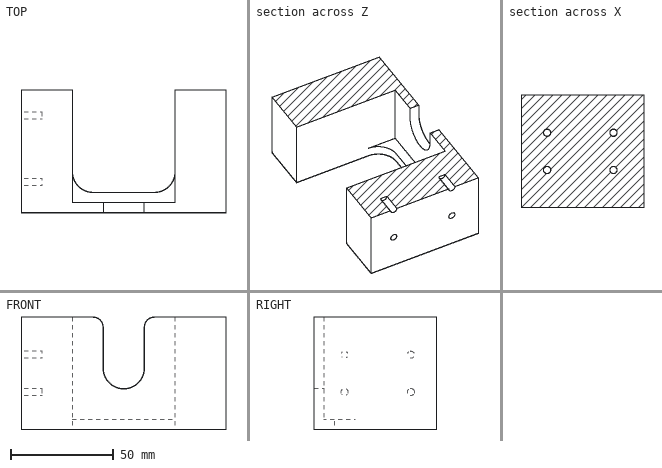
import cadquery as cq

LENGTH = 100.0
DEPTH = 60.0
HEIGHT = 55.0

LEG_WIDTH = 25.0
WALL = 5.0
OPENING_WIDTH = LENGTH - 2 * LEG_WIDTH

LEDGE_HEIGHT = 5.0
LEDGE_DEPTH = 5.0
LEDGE_CORNER_RADIUS = 10.0

SLOT_WIDTH = 20.0
SLOT_RADIUS = SLOT_WIDTH / 2
SLOT_BOTTOM = 20.0
SLOT_LIP_RADIUS = 5.0

HOLE_DIAMETER = 3.4
HOLE_DEPTH = 10.0
HOLE_SPACING_Y = 32.4
HOLE_SPACING_Z = 18.2
HOLE_CENTER_Y = 31.2
HOLE_CENTER_Z = HEIGHT / 2


def corner_box(x, y, width, depth, height):
    """Box standing on Z = 0 with its lowest corner at (x, y)."""
    return cq.Workplane("XY").box(width, depth, height, centered=False).translate((x, y, 0))


def make_body():
    """Block opened at the back, leaving two legs, the front wall and the ledge."""
    block = corner_box(0, 0, LENGTH, DEPTH, HEIGHT)
    upper_opening = corner_box(LEG_WIDTH, WALL, OPENING_WIDTH, DEPTH - WALL, HEIGHT - LEDGE_HEIGHT)
    upper_opening = upper_opening.translate((0, 0, LEDGE_HEIGHT))

    ledge_back = WALL + LEDGE_DEPTH
    floor_opening = corner_box(LEG_WIDTH, ledge_back, OPENING_WIDTH, DEPTH - ledge_back, HEIGHT)
    floor_opening = floor_opening.edges("|Z and <Y").fillet(LEDGE_CORNER_RADIUS)
    return block.cut(upper_opening).cut(floor_opening)


def make_slot():
    """Slot through the front wall, flaring at the top around the rounded lips."""
    middle = LENGTH / 2
    left = middle - SLOT_RADIUS
    right = middle + SLOT_RADIUS
    arc_start_z = SLOT_BOTTOM + SLOT_RADIUS
    lip_start_z = HEIGHT - SLOT_LIP_RADIUS
    return (
        cq.Workplane("XZ")
        .moveTo(left - SLOT_LIP_RADIUS, HEIGHT)
        .radiusArc((left, lip_start_z), SLOT_LIP_RADIUS)
        .lineTo(left, arc_start_z)
        .threePointArc((middle, SLOT_BOTTOM), (right, arc_start_z))
        .lineTo(right, lip_start_z)
        .radiusArc((right + SLOT_LIP_RADIUS, HEIGHT), SLOT_LIP_RADIUS)
        .close()
        .extrude(-WALL)
    )


def make_side_holes():
    """Two-by-two pattern of blind holes drilled into the -X face."""
    return (
        cq.Workplane("YZ")
        .center(HOLE_CENTER_Y, HOLE_CENTER_Z)
        .rect(HOLE_SPACING_Y, HOLE_SPACING_Z, forConstruction=True)
        .vertices()
        .circle(HOLE_DIAMETER / 2)
        .extrude(HOLE_DEPTH)
    )


result = make_body().cut(make_slot()).cut(make_side_holes())